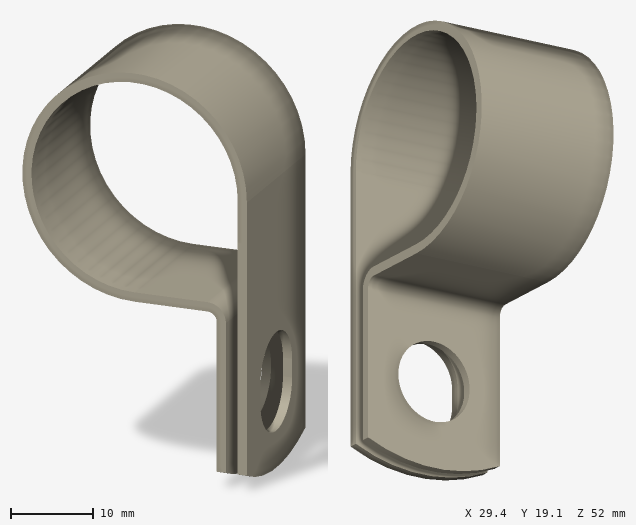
import cadquery as cq
import math


strip_width = 19.05
thickness = 1.2
loop_outer_diameter = 29.41
overall_height = 51.99
leg_gap = 1.55
bend_inner_radius = 1.2
hole_diameter = 10.3
slot_length = 12.7
hole_drop = 26.14
tip_rise = 2.1

outer_radius = loop_outer_diameter / 2
inner_radius = outer_radius - thickness
bend_outer_radius = bend_inner_radius + thickness
leg_bottom = outer_radius - overall_height
inner_leg_right = inner_radius - leg_gap
inner_leg_left = inner_leg_right - thickness
bend_center_x = inner_leg_left - bend_inner_radius
bend_center_z = -outer_radius - bend_inner_radius
half_width = strip_width / 2


def diagonal_point(center_x, center_z, radius, x_sign):
    """Point on a circle at 45 degrees above its center, on the chosen side."""
    offset = radius * math.sqrt(0.5)
    return (center_x + x_sign * offset, center_z + offset)


def bent_strip():
    """Strip profile in the XZ plane, extruded equally to both sides of Y = 0."""
    profile = (
        cq.Workplane("XZ")
        .moveTo(outer_radius, leg_bottom)
        .lineTo(outer_radius, 0)
        .threePointArc(diagonal_point(0, 0, outer_radius, -1), (0, -outer_radius))
        .lineTo(bend_center_x, -outer_radius)
        .threePointArc(
            diagonal_point(bend_center_x, bend_center_z, bend_inner_radius, 1),
            (inner_leg_left, bend_center_z),
        )
        .lineTo(inner_leg_left, leg_bottom)
        .lineTo(inner_leg_right, leg_bottom)
        .lineTo(inner_leg_right, bend_center_z)
        .threePointArc(
            diagonal_point(bend_center_x, bend_center_z, bend_outer_radius, 1),
            (bend_center_x, -inner_radius),
        )
        .lineTo(0, -inner_radius)
        .threePointArc(diagonal_point(0, 0, inner_radius, -1), (inner_radius, 0))
        .lineTo(inner_radius, leg_bottom)
        .close()
    )
    return profile.extrude(half_width, both=True)


def side_envelope():
    """Side outline of the clip with its rounded bottom end, spanning the full X size."""
    tip_corner_z = leg_bottom + tip_rise
    return (
        cq.Workplane("YZ")
        .moveTo(-half_width, outer_radius)
        .lineTo(-half_width, tip_corner_z)
        .threePointArc((0, leg_bottom), (half_width, tip_corner_z))
        .lineTo(half_width, outer_radius)
        .close()
        .extrude(outer_radius, both=True)
    )


def inner_leg_hole():
    """Round hole along X through the inner leg only."""
    return (
        cq.Workplane("YZ", origin=(inner_leg_left, 0, -hole_drop))
        .circle(hole_diameter / 2)
        .extrude(thickness)
    )


def outer_leg_slot():
    """Upright slot along X through the outer leg, on the same axis as the round hole."""
    return (
        cq.Workplane("YZ", origin=(inner_radius, 0, -hole_drop))
        .slot2D(slot_length, hole_diameter, 90)
        .extrude(thickness)
    )


strip = bent_strip().intersect(side_envelope())
result = strip.cut(inner_leg_hole()).cut(outer_leg_slot())